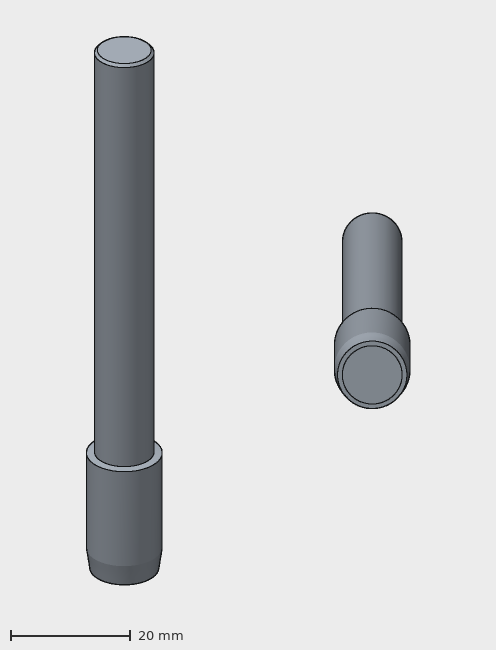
import cadquery as cq

pin_length = 100.0
pin_radius = 5.0
pin_chamfer = 0.5

sleeve_height = 22.4
sleeve_diameter = 12.7
sleeve_radius = sleeve_diameter / 2
top_slope_drop = 0.2
nose_height = 3.9
nose_end_radius = 5.8


def make_pin():
    """Plain round pin, chamfered at its upper end."""
    pin = cq.Workplane("XY").circle(pin_radius).extrude(pin_length)
    return pin.faces(">Z").chamfer(pin_chamfer)


def make_sleeve():
    """Revolved sleeve with a shallow conical top and a tapered nose."""
    return (
        cq.Workplane("XZ")
        .moveTo(pin_radius, 0)
        .lineTo(nose_end_radius, 0)
        .lineTo(sleeve_radius, nose_height)
        .lineTo(sleeve_radius, sleeve_height - top_slope_drop)
        .lineTo(pin_radius, sleeve_height)
        .close()
        .revolve(360, (0, 0, 0), (0, 1, 0))
    )


pin = make_pin()
sleeve = make_sleeve()

result = cq.Compound.makeCompound([pin.val(), sleeve.val()])